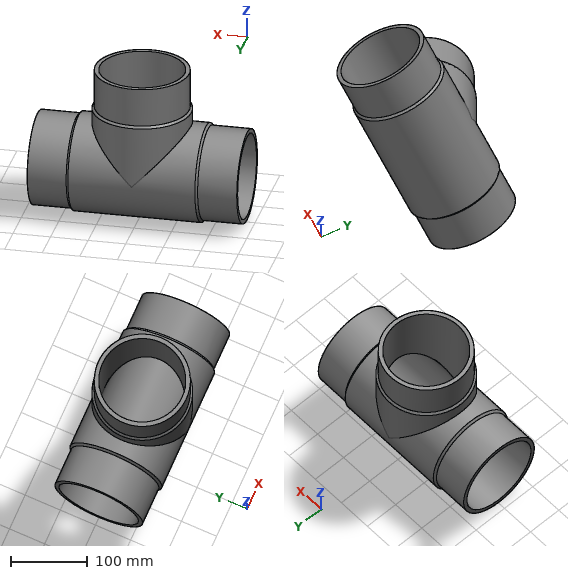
import cadquery as cq

run_length = 279.0
branch_height = 139.0
bore_diameter = 113.0
spigot_diameter = 125.0
body_diameter = 131.0
spigot_length = 52.0

body_length = run_length - 2 * spigot_length
branch_body_height = branch_height - spigot_length
shoulder_chamfer = (body_diameter - spigot_diameter) / 2


def cylinder(plane, diameter, start, length):
    """Cylinder along the plane's normal, beginning at the given offset."""
    return cq.Workplane(plane).workplane(offset=start).circle(diameter / 2).extrude(length)


def make_run():
    """Solid through pipe: a thicker body chamfered down to a spigot at each end."""
    body = cylinder("YZ", body_diameter, -body_length / 2, body_length)
    body = body.faces("<X or >X").chamfer(shoulder_chamfer)
    spigots = cylinder("YZ", spigot_diameter, -run_length / 2, run_length)
    return body.union(spigots)


def make_branch():
    """Solid side pipe: starts on the run axis, chamfered down to a single spigot."""
    body = cylinder("XY", body_diameter, 0, branch_body_height)
    body = body.faces(">Z").chamfer(shoulder_chamfer)
    spigot = cylinder("XY", spigot_diameter, 0, branch_height)
    return body.union(spigot)


def make_bores():
    """Through bore of the run joined to the bore of the branch."""
    run_bore = cylinder("YZ", bore_diameter, -run_length / 2, run_length)
    branch_bore = cylinder("XY", bore_diameter, 0, branch_height)
    return run_bore.union(branch_bore)


result = make_run().union(make_branch()).cut(make_bores())